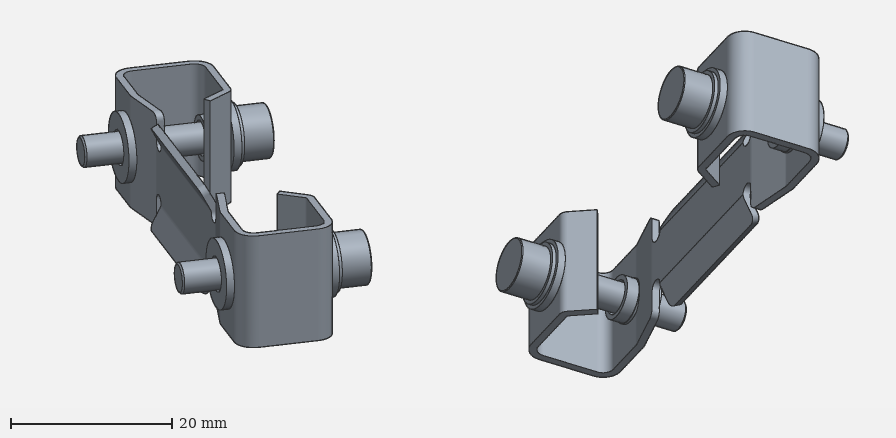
import cadquery as cq
import math


overall_length = 56.4
strip_width = 15.0
sheet = 1.0
clamp_depth = 12.6
bend_inner_radius = 1.45
step_angle = 12.0
step_slope = 6.4
lip_angle = 55.0
lip_bend_inner_radius = 0.2
lip_length = 3.7

web_tab_length = 21.9
flange_bend_z = 3.85
flange_angle = 28.0
flange_bend_inner_radius = 0.75
flange_length = 3.05
slot_width = 2.0
slot_depth_z = 2.95
corner_radius = 1.0

screw_x = 21.25
front_flat = 1.45
rear_flat = 3.0
screw_diameter = 4.0
screw_protrusion = 4.9
tip_chamfer = 0.2
head_diameter = 7.0
head_length = 4.0
head_chamfer = 0.1
washer_diameter = 8.0
washer_thickness = 0.5
bush_flange_diameter = 9.0
bush_flange_thickness = 1.0
bush_shoulder_diameter = 6.0
bush_shoulder_rise = 0.35
bush_collar_diameter = 5.8
bush_reach = 2.0
bush_bore = 4.5

bend_radius = bend_inner_radius + sheet / 2
lip_bend_radius = lip_bend_inner_radius + sheet / 2
flange_bend_radius = flange_bend_inner_radius + sheet / 2
front_bend_x = screw_x - front_flat
lip_bend_x = screw_x - rear_flat
corner_x = overall_length / 2 - sheet / 2 - bend_radius
step_sin = math.sin(math.radians(step_angle))
step_cos = math.cos(math.radians(step_angle))
step_run = 2 * bend_radius * step_sin + step_slope * step_cos
step_rise = 2 * bend_radius * (1 - step_cos) + step_slope * step_sin
web_y = sheet / 2 + step_rise
slot_outer_x = web_tab_length / 2 + slot_width
slot_centre_x = web_tab_length / 2 + slot_width / 2
slot_centre_z = slot_depth_z + slot_width / 2


def bent_sheet(plane, width, moves):
    """Sheet following flats ("flat", length) and bends ("bend", radius, angle) from the plane's
    origin along its local x; positive angles turn left. Width is centred on the plane."""
    x, y, heading = 0.0, 0.0, 0.0
    stations = [(x, y, heading)]
    for kind, *size in moves:
        if kind == "flat":
            x += size[0] * math.cos(heading)
            y += size[0] * math.sin(heading)
            stations.append((x, y, heading))
        else:
            radius, angle = size
            half_turn = math.radians(angle) / 2
            chord = 2 * radius * math.sin(abs(half_turn) / 2)
            for _ in range(2):
                x += chord * math.cos(heading + half_turn / 2)
                y += chord * math.sin(heading + half_turn / 2)
                heading += half_turn
                stations.append((x, y, heading))

    def side(offset):
        """Points of the sheet face lying the given offset to the left of the mid-sheet line."""
        return [(px - offset * math.sin(h), py + offset * math.cos(h)) for px, py, h in stations]

    def trace(outline, points, kinds):
        """Continue the outline along one sheet face with lines and arcs."""
        index = 1
        for kind in kinds:
            if kind == "flat":
                outline = outline.lineTo(*points[index])
                index += 1
            else:
                outline = outline.threePointArc(points[index], points[index + 1])
                index += 2
        return outline

    left = side(sheet / 2)
    right = side(-sheet / 2)[::-1]
    kinds = [move[0] for move in moves]
    outline = trace(cq.Workplane(plane).moveTo(*left[0]), left, kinds)
    outline = trace(outline.lineTo(*right[0]), right, kinds[::-1])
    return outline.close().extrude(width / 2, both=True)


def rod(diameter, start_y, length):
    """Cylinder on the Y axis running from start_y toward +Y."""
    return cq.Workplane("XZ", origin=(0, start_y, 0)).circle(diameter / 2).extrude(-length)


def make_clamp_strip():
    """Full-width strip: web, step, front leg, side wall, rear leg and lip at both ends."""
    plane = cq.Plane(origin=(0, web_y, 0), xDir=(1, 0, 0), normal=(0, 0, 1))
    half = bent_sheet(plane, strip_width, [
        ("flat", front_bend_x - step_run),
        ("bend", bend_radius, -step_angle),
        ("flat", step_slope),
        ("bend", bend_radius, step_angle),
        ("flat", corner_x - front_bend_x),
        ("bend", bend_radius, 90),
        ("flat", clamp_depth - sheet - 2 * bend_radius),
        ("bend", bend_radius, 90),
        ("flat", corner_x - lip_bend_x),
        ("bend", lip_bend_radius, lip_angle),
        ("flat", lip_length),
    ])
    return half.union(half.mirror("YZ"))


def cut_relief(strip):
    """Narrow the web between the clamps, with round-bottomed slots beside the clamps."""
    margin_height = strip_width / 2 - slot_centre_z
    for side_z in (1, -1):
        margin = cq.Workplane("XY").box(2 * slot_outer_x, clamp_depth, margin_height).translate(
            (0, web_y, side_z * (slot_centre_z + margin_height / 2)))
        strip = strip.cut(margin)
        for side_x in (1, -1):
            slot_end = rod(slot_width, web_y - sheet, 2 * sheet)
            strip = strip.cut(slot_end.translate((side_x * slot_centre_x, 0, side_z * slot_centre_z)))
    tab_corners = cq.selectors.BoxSelector(
        (-slot_outer_x - sheet, 0, -strip_width), (slot_outer_x + sheet, 2 * web_y, strip_width))
    return strip.edges("|Y").edges(tab_corners).edges("<Z or >Z").fillet(corner_radius)


def make_web_flanges():
    """Web centre with both long edges folded forward, toward -Y."""
    plane = cq.Plane(origin=(0, web_y, 0), xDir=(0, 0, 1), normal=(1, 0, 0))
    half = bent_sheet(plane, web_tab_length, [
        ("flat", flange_bend_z),
        ("bend", flange_bend_radius, flange_angle),
        ("flat", flange_length),
    ])
    half = half.faces(">Z").edges("#X").fillet(corner_radius)
    return half.union(half.mirror("XY"))


def make_bracket():
    """Complete bracket; the bush holes also clear the slope that starts beside each front bush."""
    body = cut_relief(make_clamp_strip()).union(make_web_flanges())
    hole_depth = sheet + bush_reach
    for side_x in (1, -1):
        for hole_start_y in (0, clamp_depth - hole_depth):
            hole = rod(bush_shoulder_diameter, hole_start_y, hole_depth)
            body = body.cut(hole.translate((side_x * screw_x, 0, 0)))
    return body


def make_front_bush():
    """Flanged bush: flange outside the leg, shoulder through it, collar inside."""
    shoulder_length = sheet + bush_shoulder_rise
    flange = rod(bush_flange_diameter, -bush_flange_thickness, bush_flange_thickness)
    shoulder = rod(bush_shoulder_diameter, 0, shoulder_length)
    collar = rod(bush_collar_diameter, shoulder_length, bush_reach - bush_shoulder_rise)
    bore = rod(bush_bore, -bush_flange_thickness, bush_flange_thickness + sheet + bush_reach)
    return flange.union(shoulder).union(collar).cut(bore)


def make_rear_bush():
    return make_front_bush().mirror("XZ").translate((0, clamp_depth, 0))


def make_washer():
    seat_y = clamp_depth + bush_flange_thickness
    return rod(washer_diameter, seat_y, washer_thickness).cut(rod(bush_bore, seat_y, washer_thickness))


def make_screw():
    head_y = clamp_depth + bush_flange_thickness + washer_thickness
    tip_y = -bush_flange_thickness - screw_protrusion
    shank = rod(screw_diameter, tip_y, head_y - tip_y).faces("<Y").chamfer(tip_chamfer)
    head = rod(head_diameter, head_y, head_length).faces(">Y").chamfer(head_chamfer)
    return shank.union(head)


bracket = make_bracket()
fasteners = []
for side_x in (1, -1):
    for make_body in (make_screw, make_washer, make_rear_bush, make_front_bush):
        fasteners.append(make_body().translate((side_x * screw_x, 0, 0)).val())

result = cq.Compound.makeCompound([bracket.val(), *fasteners])